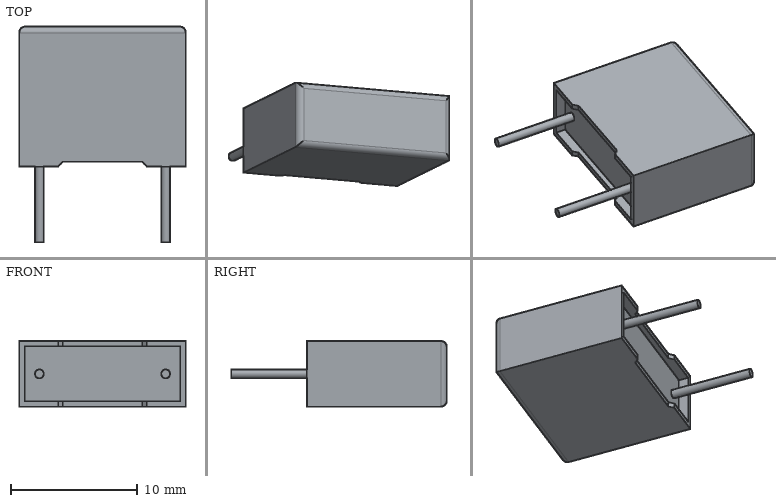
import cadquery as cq

CASE_WIDTH = 13.2
CASE_HEIGHT = 5.22
TOTAL_LENGTH = 17.1
LEAD_PROJECTION = 6.0
CASE_LENGTH = TOTAL_LENGTH - LEAD_PROJECTION

WALL = 0.43
END_FILLET = 0.5
RELIEF_DEPTH = 0.36
RELIEF_MOUTH = 7.05
RELIEF_FLOOR = RELIEF_MOUTH - 2 * RELIEF_DEPTH

FILLER_RECESS = 0.8
LEAD_DIAMETER = 0.7
LEAD_PITCH = 10.0

CAVITY_WIDTH = CASE_WIDTH - 2 * WALL
CAVITY_HEIGHT = CASE_HEIGHT - 2 * WALL
CAVITY_END = CASE_LENGTH - WALL


def block_along_y(width, height, start, end):
    """Box centred on the Y axis, running from start to end in Y."""
    return cq.Workplane("XY").box(width, end - start, height).translate((0, (start + end) / 2, 0))


def make_case():
    """Open box with a rounded closed end and a relief in each broad wall."""
    case = block_along_y(CASE_WIDTH, CASE_HEIGHT, 0, CASE_LENGTH)
    case = case.faces(">Y").edges().fillet(END_FILLET)
    case = case.cut(block_along_y(CAVITY_WIDTH, CAVITY_HEIGHT, 0, CAVITY_END))
    relief = (
        cq.Workplane("XY")
        .polyline([
            (-RELIEF_MOUTH / 2, 0),
            (-RELIEF_FLOOR / 2, RELIEF_DEPTH),
            (RELIEF_FLOOR / 2, RELIEF_DEPTH),
            (RELIEF_MOUTH / 2, 0),
        ])
        .close()
        .extrude(CASE_HEIGHT / 2, both=True)
    )
    return case.cut(relief)


def make_filler():
    """Solid block filling the cavity up to the recessed face."""
    return block_along_y(CAVITY_WIDTH, CAVITY_HEIGHT, FILLER_RECESS, CAVITY_END)


def make_lead(x):
    """Round lead standing on the filler face."""
    return (
        cq.Workplane("XZ", origin=(x, FILLER_RECESS, 0))
        .circle(LEAD_DIAMETER / 2)
        .extrude(FILLER_RECESS + LEAD_PROJECTION)
    )


case = make_case()
filler = make_filler()
leads = [make_lead(side * LEAD_PITCH / 2) for side in (-1, 1)]

result = cq.Compound.makeCompound([case.val(), filler.val(), *[lead.val() for lead in leads]])